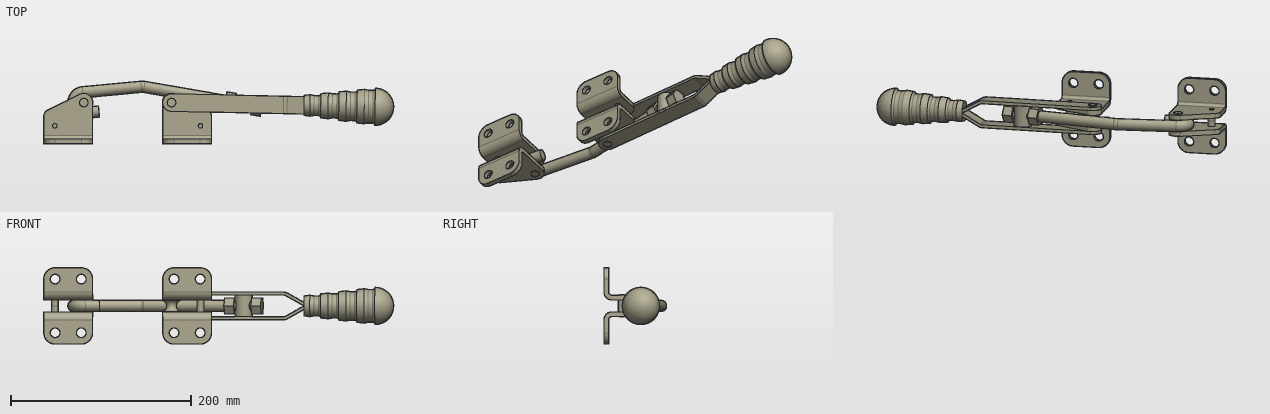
import cadquery as cq
import math

total_length = 388.57
total_height = 69.74
total_width = 85.0

bracket_length = 54.4
bracket_pitch = 132.0
sheet = 5.5
half_gap = 6.5
bend_outer_radius = 9.0
flange_corner_radius = 12.7
hole_inset = 12.7
hole_diameter = 10.5
pin_inset = 9.9
pin_height = 45.8
ear_radius = 10.2
web_slope = 26.0
web_corner_radius = 8.0

pin_diameter = 9.6
pin_proud = 0.8
spacer_diameter = 8.0
spacer_end_diameter = 5.0
spacer_proud = 0.5
spacer_inset = 12.4
spacer_height = 20.0

roller_radius = 10.0
roller_waist_radius = 5.5
groove_radius = 6.5

rod_diameter = 12.7
hook_bend_radius = 11.5
hook_tip_length = 16.0
knee_x = 109.5
knee_bend_radius = 12.0
nut_across_flats = 18.0
nut_length = 11.0

handle_tilt = 1.2
strap_width = 19.6
strap = 3.5
strap_bend_inner_radius = 5.0
strap_straight = 125.5
grip_start = 147.0
trunnion_distance = 80.0
trunnion_radius = 9.7

ball_radius = 20.8
grip_first_radius = 11.2
ring_pitch = 20.1
ring_growth = 2.4
ridge_rise = 0.9
ridge_to_step = 12.0
groove_start_to_step = 7.4
ring_count = 4

web_outer = half_gap + sheet
strap_outer = web_outer + strap
catch_pin = cq.Vector(bracket_length - pin_inset, pin_height)
pivot = cq.Vector(bracket_pitch + pin_inset, pin_height)
tilt = math.radians(handle_tilt)
trunnion = pivot + cq.Vector(math.cos(tilt), -math.sin(tilt)) * trunnion_distance
knee_centre = cq.Vector(knee_x, total_height - rod_diameter / 2 - knee_bend_radius)


def polar(centre, radius, angle):
    """Point at a radius and an angle (radians) from a centre in the XY plane."""
    return cq.Vector(centre.x + radius * math.cos(angle), centre.y + radius * math.sin(angle))


def z_cylinder(x, y, diameter, half_length):
    """Cylinder along Z, centred on Z = 0."""
    return cq.Workplane("XY").center(x, y).circle(diameter / 2).extrude(half_length, both=True)


def angle_sheet():
    """Bent sheet on the +Z side: a flange on the base plane and a web rising along Y."""
    length = bracket_length + ear_radius
    section = (
        cq.Workplane("YZ")
        .moveTo(0, total_width / 2)
        .lineTo(0, half_gap)
        .lineTo(total_height, half_gap)
        .lineTo(total_height, web_outer)
        .lineTo(sheet, web_outer)
        .lineTo(sheet, total_width / 2)
        .close()
        .extrude(length)
    )
    outer_corner = cq.selectors.NearestToPointSelector((length / 2, 0, half_gap))
    inner_corner = cq.selectors.NearestToPointSelector((length / 2, sheet, web_outer))
    section = section.edges(outer_corner).fillet(bend_outer_radius)
    return section.edges(inner_corner).fillet(bend_outer_radius - sheet)


def web_outline():
    """Prism of the bracket side shape: rounded ear at the pin, sloping edge down to the far end."""
    slope = math.radians(web_slope)
    ear_start_y = pin_height - math.sqrt(ear_radius**2 - pin_inset**2)
    ear_middle = polar(catch_pin, ear_radius, math.pi / 4)
    ear_end = polar(catch_pin, ear_radius, math.pi / 2 + slope)
    slope_foot = ear_end.y - ear_end.x * math.tan(slope)
    return (
        cq.Workplane("XY")
        .lineTo(bracket_length, 0)
        .lineTo(bracket_length, ear_start_y)
        .threePointArc((ear_middle.x, ear_middle.y), (ear_end.x, ear_end.y))
        .lineTo(0, slope_foot)
        .close()
        .extrude(total_width)
        .edges(cq.selectors.NearestToPointSelector((0, slope_foot, total_width / 2)))
        .fillet(web_corner_radius)
    )


def flange_outline():
    """Flange plate with rounded outer corners, with clear space for the web above it."""
    above_flange = (
        cq.Workplane("XY")
        .box(bracket_length + ear_radius, total_height, total_width / 2, centered=False)
        .translate((0, sheet, 0))
    )
    flange = (
        cq.Workplane("XY")
        .box(bracket_length, sheet, total_width / 2, centered=False)
        .edges("|Y and >Z")
        .fillet(flange_corner_radius)
    )
    return flange.union(above_flange)


def bracket():
    """Pair of mirrored angles, joined by a spacer pin."""
    half = angle_sheet().intersect(web_outline()).intersect(flange_outline())
    for hole_x in (hole_inset, bracket_length - hole_inset):
        drill = (
            cq.Workplane("XZ")
            .center(hole_x, total_width / 2 - hole_inset)
            .circle(hole_diameter / 2)
            .extrude(-sheet)
        )
        half = half.cut(drill)
    spacer = z_cylinder(spacer_inset, spacer_height, spacer_diameter, half_gap)
    tenon = z_cylinder(
        spacer_inset, spacer_height, spacer_end_diameter, web_outer + spacer_proud
    )
    return half.union(half.mirror("XY")).union(spacer).union(tenon)


def make_catch():
    pin = z_cylinder(catch_pin.x, catch_pin.y, pin_diameter, web_outer + pin_proud)
    return bracket().union(pin).solids()


to_knee = knee_centre - catch_pin
leg_angle = math.atan2(to_knee.y, to_knee.x) - math.asin(
    (hook_bend_radius - knee_bend_radius) / to_knee.Length
)
to_trunnion = trunnion - knee_centre
shank_angle = math.atan2(to_trunnion.y, to_trunnion.x) - math.asin(
    knee_bend_radius / to_trunnion.Length
)


def shank_point(distance):
    """Point on the shank axis, measured from the trunnion axis away from the knee."""
    return polar(trunnion, distance, shank_angle)


def hook_rod():
    """Round rod: short tip, half-turn round the catch pin, leg, knee and shank."""
    up = math.pi / 2
    bend_start = polar(catch_pin, hook_bend_radius, leg_angle - up)
    bend_middle = polar(catch_pin, hook_bend_radius, leg_angle + math.pi)
    bend_end = polar(catch_pin, hook_bend_radius, leg_angle + up)
    tip = polar(bend_start, hook_tip_length, leg_angle)
    knee_start = polar(knee_centre, knee_bend_radius, leg_angle + up)
    knee_middle = polar(knee_centre, knee_bend_radius, (leg_angle + shank_angle) / 2 + up)
    knee_end = polar(knee_centre, knee_bend_radius, shank_angle + up)
    shank_end = shank_point(trunnion_radius + nut_length)
    path = (
        cq.Workplane("XY")
        .moveTo(tip.x, tip.y)
        .lineTo(bend_start.x, bend_start.y)
        .threePointArc((bend_middle.x, bend_middle.y), (bend_end.x, bend_end.y))
        .lineTo(knee_start.x, knee_start.y)
        .threePointArc((knee_middle.x, knee_middle.y), (knee_end.x, knee_end.y))
        .lineTo(shank_end.x, shank_end.y)
    )
    return (
        cq.Workplane(cq.Plane(origin=tip, xDir=(0, 0, 1), normal=bend_start - tip))
        .circle(rod_diameter / 2)
        .sweep(path)
    )


def nut(start_distance):
    """Hexagon nut on the shank, with flats facing +Z and -Z."""
    axis = cq.Vector(math.cos(shank_angle), math.sin(shank_angle))
    across_corners = nut_across_flats / math.cos(math.pi / 6)
    corner_direction = cq.Vector(0, 0, 1).cross(axis)
    plane = cq.Plane(origin=shank_point(start_distance), xDir=corner_direction, normal=axis)
    return cq.Workplane(plane).polygon(6, across_corners).extrude(nut_length)


def strap_plate():
    """Flat strap on the +Z side that bends in to the centre plane at the grip."""
    converge = math.atan2(web_outer, grip_start - strap_straight)
    bend_shift = strap * math.tan(converge / 2)
    side = (
        cq.Workplane("XZ")
        .moveTo(-strap_width, web_outer)
        .lineTo(strap_straight, web_outer)
        .lineTo(grip_start, 0)
        .lineTo(grip_start, strap / math.cos(converge))
        .lineTo(strap_straight + bend_shift, strap_outer)
        .lineTo(-strap_width, strap_outer)
        .close()
        .extrude(strap_width / 2, both=True)
    )
    inner_bend = cq.selectors.NearestToPointSelector((strap_straight, 0, web_outer))
    outer_bend = cq.selectors.NearestToPointSelector((strap_straight + bend_shift, 0, strap_outer))
    side = side.edges(inner_bend).fillet(strap_bend_inner_radius)
    side = side.edges(outer_bend).fillet(strap_bend_inner_radius + strap)
    round_end = cq.Workplane("XY").circle(strap_width / 2).extrude(strap_outer)
    body = (
        cq.Workplane("XY")
        .rect(grip_start, strap_width)
        .extrude(strap_outer)
        .translate((grip_start / 2, 0, 0))
    )
    return side.intersect(round_end.union(body))


def grip(ball_distance):
    """Turned grip: stepped rings, each ending in a concave run-up, growing towards a ball end."""
    profile = cq.Workplane("XY").moveTo(grip_start, 0).lineTo(grip_start, grip_first_radius)
    for ring in range(ring_count):
        step_x = ball_distance - (ring_count - 1 - ring) * ring_pitch
        edge_radius = grip_first_radius + ring * ring_growth
        is_last = ring == ring_count - 1
        next_edge = ball_radius if is_last else edge_radius + ring_growth
        profile = (
            profile.lineTo(step_x - ridge_to_step, edge_radius + ridge_rise)
            .lineTo(step_x - groove_start_to_step, edge_radius)
            .lineTo(step_x - ring_growth, edge_radius)
            .tangentArcPoint((step_x, next_edge), relative=False)
        )
    diagonal = ball_radius * math.sin(math.pi / 4)
    profile = profile.threePointArc(
        (ball_distance + diagonal, diagonal), (ball_distance + ball_radius, 0)
    ).close()
    return profile.revolve(360, (0, 0, 0), (1, 0, 0))


def handle():
    """Two straps and the grip, tilted about the pivot and set in place."""
    ball_distance = (total_length - ball_radius - pivot.x) / math.cos(tilt)
    plate = strap_plate()
    lever = plate.union(plate.mirror("XY")).union(grip(ball_distance))
    return lever.rotate((0, 0, 0), (0, 0, 1), -handle_tilt).translate(pivot)


def roller():
    """Roller on the handle pivot with a round groove facing the hook rod."""
    groove_centre = roller_waist_radius + groove_radius
    groove = cq.Workplane("XY").newObject(
        [cq.Solid.makeTorus(groove_centre, groove_radius, pivot, cq.Vector(0, 0, 1))]
    )
    return z_cylinder(pivot.x, pivot.y, 2 * roller_radius, half_gap).cut(groove)


def make_latch():
    latch = bracket().mirror("YZ").translate((bracket_pitch + bracket_length, 0, 0))
    latch = latch.union(handle())
    latch = latch.union(z_cylinder(pivot.x, pivot.y, pin_diameter, strap_outer + pin_proud))
    latch = latch.union(roller())
    latch = latch.union(z_cylinder(trunnion.x, trunnion.y, 2 * trunnion_radius, web_outer))
    latch = latch.union(hook_rod())
    for start_distance in (-trunnion_radius - nut_length, trunnion_radius):
        latch = latch.union(nut(start_distance))
    return latch.solids()


catch = make_catch()
latch = make_latch()
result = cq.Compound.makeCompound([catch.val(), latch.val()])